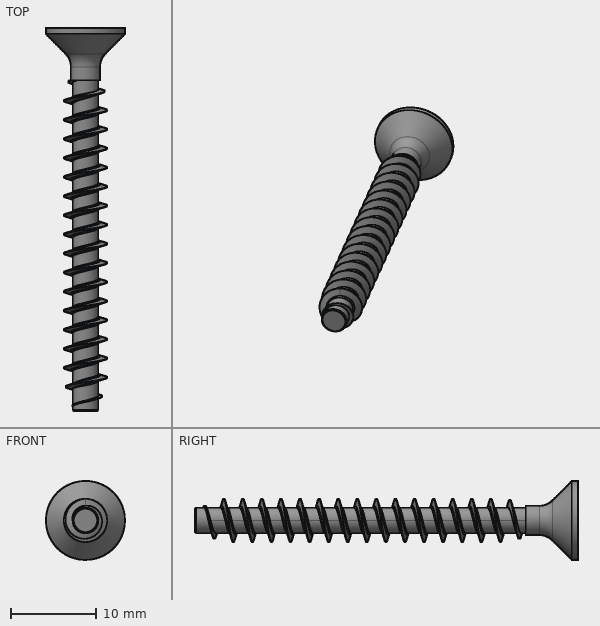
import cadquery as cq
import math


LENGTH = 45.0

HEAD_RADIUS = 9.3 / 2
RIM_HEIGHT = 0.7
CONE_HALF_ANGLE = 45.0
NECK_FILLET = 2.15
SHANK_RADIUS = 3.45 / 2
SHANK_END = 6.15

CORE_RADIUS = 3.0 / 2
TIP_CHAMFER = 0.15

CREST_RADIUS = 5.1 / 2
CREST_WIDTH = 0.068
FLANK_WIDTH = 0.5
ROOT_WIDTH = 0.95
FLARE_HEIGHT = 0.2
ROOT_OVERLAP = 0.1
THREAD_START = 5.75
START_ANGLE = 90.0
LEAD_IN_TURNS = 1.25
FULL_TURNS = 14.75
RUN_OUT_TURNS = 1.25
THREAD_LENGTH = 38.65
PITCH = THREAD_LENGTH / (LEAD_IN_TURNS + FULL_TURNS + RUN_OUT_TURNS)
LEAD_IN_SINK = 0.65
RUN_OUT_SINK = 1.0


def make_body():
    """Head, neck fillet, shank and core as one revolved outline."""
    cone_angle = math.radians(CONE_HALF_ANGLE)
    corner_depth = RIM_HEIGHT + (HEAD_RADIUS - SHANK_RADIUS) / math.tan(cone_angle)
    tangent = NECK_FILLET * math.tan(cone_angle / 2)
    fillet_end = corner_depth + tangent
    fillet_centre_radius = SHANK_RADIUS + NECK_FILLET

    def fillet_point(angle):
        return (
            fillet_centre_radius - NECK_FILLET * math.cos(angle),
            fillet_end - NECK_FILLET * math.sin(angle),
        )

    return (
        cq.Workplane("XZ")
        .moveTo(0, 0)
        .lineTo(HEAD_RADIUS, 0)
        .lineTo(HEAD_RADIUS, RIM_HEIGHT)
        .lineTo(*fillet_point(cone_angle))
        .threePointArc(fillet_point(cone_angle / 2), fillet_point(0))
        .lineTo(SHANK_RADIUS, SHANK_END)
        .lineTo(CORE_RADIUS, SHANK_END)
        .lineTo(CORE_RADIUS, LENGTH - TIP_CHAMFER)
        .lineTo(CORE_RADIUS - TIP_CHAMFER, LENGTH)
        .lineTo(0, LENGTH)
        .close()
        .revolve(360, (0, 0, 0), (0, 1, 0))
    )


def thread_section(start_turn, turns, sink_start, sink_end):
    """A stretch of flared thread whose radius changes evenly from one end to the other."""
    foot_radius = CORE_RADIUS - ROOT_OVERLAP
    flank_radius = CORE_RADIUS + FLARE_HEIGHT
    head_side = [
        (foot_radius, -ROOT_WIDTH / 2),
        (flank_radius, -FLANK_WIDTH / 2),
        (CREST_RADIUS, -CREST_WIDTH / 2),
    ]
    tip_side = [(radius, -offset) for radius, offset in reversed(head_side)]
    corners = head_side + tip_side
    height = turns * PITCH
    taper = math.atan((sink_start - sink_end) / height)
    slant = 1 / math.cos(taper)
    apex_angle = math.degrees(taper) if taper else 360.0
    helices = [
        cq.Wire.makeHelix(
            PITCH * slant,
            height * slant,
            radius - sink_start,
            cq.Vector(0, 0, offset),
            angle=apex_angle,
        )
        for radius, offset in corners
    ]
    next_helices = helices[1:] + helices[:1]
    faces = [cq.Face.makeRuledSurface(a, b) for a, b in zip(helices, next_helices)]
    for end in (0, 1):
        outline = [helix.positionAt(end) for helix in helices]
        faces.append(cq.Face.makeFromWires(cq.Wire.makePolygon(outline, close=True)))
    section = cq.Solid.makeSolid(cq.Shell.makeShell(faces)).fix()
    turned = section.rotate(cq.Vector(0, 0, 0), cq.Vector(0, 0, 1), START_ANGLE + 360 * start_turn)
    return turned.translate(cq.Vector(0, 0, THREAD_START + PITCH * start_turn))


def make_thread():
    """Lead-in, full-height thread and run-out, cut off flat at the end of the shank."""
    lead_in = thread_section(0, LEAD_IN_TURNS, LEAD_IN_SINK, 0)
    full = thread_section(LEAD_IN_TURNS, FULL_TURNS, 0, 0)
    run_out = thread_section(LEAD_IN_TURNS + FULL_TURNS, RUN_OUT_TURNS, 0, RUN_OUT_SINK)
    above_shank_end = cq.Workplane("XY").circle(HEAD_RADIUS).extrude(SHANK_END)
    return [cq.Workplane(lead_in).cut(above_shank_end), cq.Workplane(full), cq.Workplane(run_out)]


screw = make_body()
for section in make_thread():
    screw = screw.union(section)

result = screw.rotate((0, 0, 0), (1, 0, 0), 90).solids()